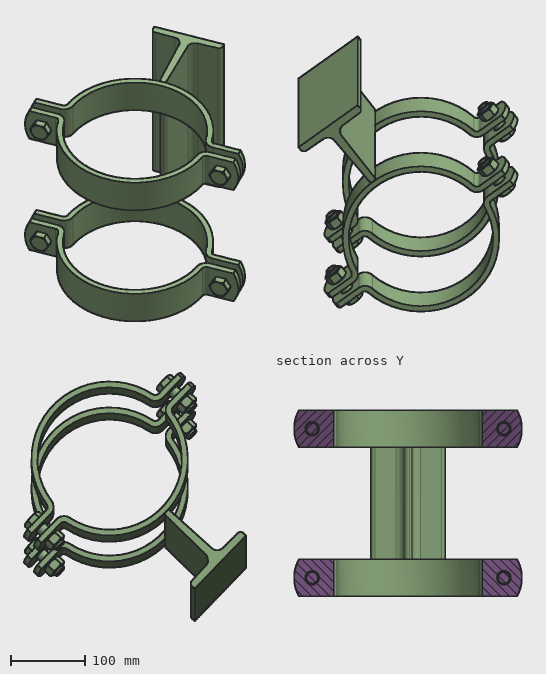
import cadquery as cq
import math

total_depth = 310.0
bar_length = 250.0

ring_diameter = 210.0
ring_radius = ring_diameter / 2
strip_thickness = 8.0
strip_height = 50.0
lug_gap = 10.5
lug_reach = 306.0 / 2
lug_tip_radius = 50.0
bend_radius = 6.0
strip_offset = (bar_length - strip_height) / 2

bolt_spacing = 257.3
bolt_diameter = 16.0
bolt_end_diameter = 15.0
bolt_hole_diameter = 18.0
bolt_overhang = 4.5
bolt_end_chamfer_length = 1.2
hex_width = 24.0
head_chamfer_diameter = 23.5
nut_chamfer_diameter = 22.0
hex_chamfer_angle = math.radians(30)
head_height = 10.0
nut_height = 13.5

tee_depth = total_depth - ring_diameter
tee_width = tee_depth
tee_thickness = 11.0
tee_taper = 0.02
tee_root_radius = tee_thickness
flange_tip_radius = tee_thickness / 2
web_tip_radius = 3.0


def make_tee():
    """Tee bar along Z, its web tip touching the back of the rings."""
    back = ring_radius + tee_depth
    half_width = tee_width / 2
    flange_tip = tee_thickness - tee_taper * half_width / 2
    web_tip = tee_thickness / 2 - tee_taper * tee_depth / 2
    flange_center = flange_tip + tee_taper * half_width
    web_back = web_tip + tee_taper * tee_depth
    corner_depth = (flange_center - tee_taper * web_back) / (1 - tee_taper**2)
    corner_x = web_back - tee_taper * corner_depth

    right_side = [
        (half_width, back),
        (half_width, back - flange_tip),
        (corner_x, back - corner_depth),
        (web_tip, ring_radius),
    ]
    left_side = [(-x, y) for x, y in reversed(right_side)]
    bar = cq.Workplane("XY").polyline(right_side + left_side).close().extrude(bar_length / 2, both=True)

    def round_edges(body, x, y, radius):
        for side in (1, -1):
            body = body.edges(cq.selectors.NearestToPointSelector((side * x, y, 0))).fillet(radius)
        return body

    bar = round_edges(bar, corner_x, back - corner_depth, tee_root_radius)
    bar = round_edges(bar, half_width, back - flange_tip, flange_tip_radius)
    return round_edges(bar, web_tip, ring_radius, web_tip_radius)


def make_half_strip():
    """Half ring on the +Y side with a lug at each end, centred on Z = 0."""
    lug_inner = lug_gap / 2
    lug_outer = lug_inner + strip_thickness
    inner_radius = ring_radius - strip_thickness
    bend_y = lug_outer + bend_radius
    bend_distance = ring_radius + bend_radius
    bend_x = math.sqrt(bend_distance**2 - bend_y**2)
    end_angle = math.atan2(bend_y, bend_x)
    middle_angle = (end_angle + math.pi / 2) / 2

    def ring_end(radius):
        return radius * math.cos(end_angle), radius * math.sin(end_angle)

    def ring_middle(radius):
        return radius * math.cos(middle_angle), radius * math.sin(middle_angle)

    def bend_point(radius):
        return bend_x - radius * math.cos(middle_angle), bend_y - radius * math.sin(middle_angle)

    strip = (
        cq.Workplane("XY")
        .moveTo(0, ring_radius)
        .threePointArc(ring_middle(ring_radius), ring_end(ring_radius))
        .threePointArc(bend_point(bend_radius), (bend_x, lug_outer))
        .lineTo(lug_reach, lug_outer)
        .lineTo(lug_reach, lug_inner)
        .lineTo(bend_x, lug_inner)
        .threePointArc(bend_point(bend_radius + strip_thickness), ring_end(inner_radius))
        .threePointArc(ring_middle(inner_radius), (0, inner_radius))
        .mirrorY()
        .extrude(strip_height / 2, both=True)
    )
    return strip.intersect(make_lug_outline()).cut(make_bolt_holes())


def make_lug_outline():
    """Prism along Y whose ends are the rounded tips of the lugs."""
    half_height = strip_height / 2
    tip_rise = lug_tip_radius - math.sqrt(lug_tip_radius**2 - half_height**2)
    corner_x = lug_reach - tip_rise
    return (
        cq.Workplane("XZ")
        .moveTo(-corner_x, -half_height)
        .lineTo(corner_x, -half_height)
        .threePointArc((lug_reach, 0), (corner_x, half_height))
        .lineTo(-corner_x, half_height)
        .threePointArc((-lug_reach, 0), (-corner_x, -half_height))
        .close()
        .extrude(ring_diameter, both=True)
    )


def make_bolt_holes():
    """Clearance holes along Y through the lugs."""
    return (
        cq.Workplane("XZ")
        .pushPoints([(-bolt_spacing / 2, 0), (bolt_spacing / 2, 0)])
        .circle(bolt_hole_diameter / 2)
        .extrude(lug_gap / 2 + strip_thickness, both=True)
    )


def make_hex(height, chamfer_diameter, chamfered_faces):
    """Hexagon with corners along X, rising along Z, its corners chamfered at the chosen end faces."""
    across_corners = hex_width / math.cos(math.pi / 6)
    chamfer_width = (across_corners - chamfer_diameter) / 2
    envelope = (
        cq.Workplane("XY")
        .circle(across_corners / 2)
        .extrude(height)
        .faces(chamfered_faces)
        .edges()
        .chamfer(chamfer_width * math.tan(hex_chamfer_angle), chamfer_width)
    )
    return cq.Workplane("XY").polygon(6, across_corners).extrude(height).intersect(envelope)


def make_bolt():
    """Bolt with its nut along Y, the head on the -Y side, centred on the lug gap."""
    grip = lug_gap + 2 * strip_thickness
    end_chamfer_width = (bolt_diameter - bolt_end_diameter) / 2
    shank = (
        cq.Workplane("XY")
        .circle(bolt_diameter / 2)
        .extrude(grip + nut_height + bolt_overhang)
        .faces(">Z")
        .chamfer(bolt_end_chamfer_length, end_chamfer_width)
    )
    head = make_hex(head_height, head_chamfer_diameter, ">Z").mirror("XY")
    nut = make_hex(nut_height, nut_chamfer_diameter, "|Z").translate((0, 0, grip))
    bolt = shank.union(head).union(nut)
    return bolt.rotate((0, 0, 0), (1, 0, 0), -90).translate((0, -grip / 2, 0))


def make_clamp():
    """Ring clamp: two half strips bolted together at the lugs, centred on the origin."""
    back_strip = make_half_strip()
    clamp = back_strip.mirror("XZ")
    bolt = make_bolt()
    for side in (-1, 1):
        clamp = clamp.union(bolt.translate((side * bolt_spacing / 2, 0, 0)))
    return clamp.union(back_strip)


tee = make_tee()
clamp = make_clamp()
clamps = [clamp.translate((0, 0, side * strip_offset)) for side in (-1, 1)]

bodies = [tee, *clamps]

result = cq.Compound.makeCompound([body.solids().val() for body in bodies])